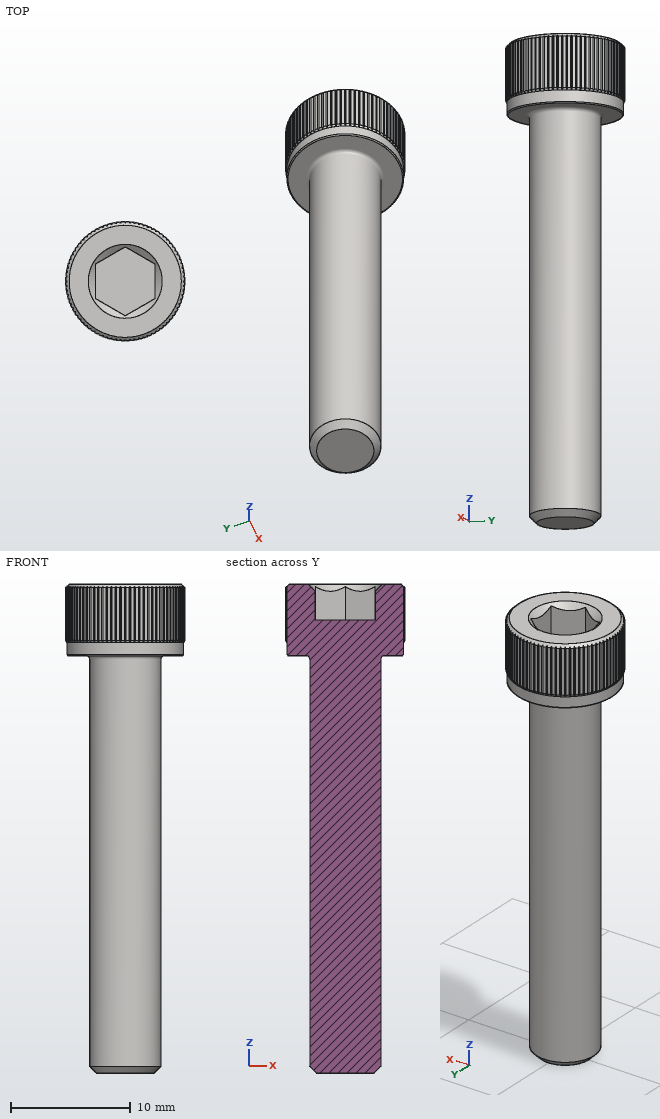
import cadquery as cq
import math

thread_diameter = 6.0
shank_length = 35.0
head_diameter = 10.0
head_height = 6.0

tip_diameter = 4.8
tip_chamfer_length = (thread_diameter - tip_diameter) / 2
neck_fillet = 0.3

collar_diameter = 9.8
collar_height = 1.1
collar_chamfer = 0.1
rim_chamfer = 0.3
foot_chamfer_width = (head_diameter - collar_diameter) / 2
foot_chamfer_height = 0.2

notch_count = 80
notch_width_share = 0.36
notch_width = notch_width_share * math.pi * head_diameter / notch_count
notch_depth = 0.1

socket_width = 5.0
socket_depth = 3.0
lead_in_diameter = 6.2
lead_in_half_angle = math.radians(45)

shank_radius = thread_diameter / 2
head_radius = head_diameter / 2
collar_radius = collar_diameter / 2


def polar_point(radius, angle):
    """Point at the given radius and angle about the screw axis."""
    return (radius * math.cos(angle), radius * math.sin(angle))


def make_shank():
    """Shank from its chamfered tip up into the neck fillet under the head."""
    fillet_start = shank_length - neck_fillet
    fillet_drop = neck_fillet * math.sqrt(0.5)
    fillet_middle = (shank_radius + neck_fillet - fillet_drop, fillet_start + fillet_drop)
    return (
        cq.Workplane("XZ")
        .moveTo(0, 0)
        .lineTo(tip_diameter / 2, 0)
        .lineTo(shank_radius, tip_chamfer_length)
        .lineTo(shank_radius, fillet_start)
        .threePointArc(fillet_middle, (shank_radius + neck_fillet, shank_length))
        .lineTo(0, shank_length)
        .close()
        .revolve(360, (0, 0, 0), (0, 1, 0))
    )


def make_collar():
    """Plain round band at the bottom of the head, with its lower edge broken."""
    return (
        cq.Workplane("XY")
        .workplane(offset=shank_length)
        .circle(collar_radius)
        .extrude(collar_height)
        .faces("<Z").chamfer(collar_chamfer)
    )


def make_knurled_band():
    """Notched upper head, trimmed by chamfers at its rim and foot."""
    height = head_height - collar_height
    root_radius = head_radius - notch_depth
    pitch_angle = 2 * math.pi / notch_count
    half_notch_angle = notch_width / head_diameter
    base = cq.Workplane("XY").workplane(offset=shank_length + collar_height)
    outline = base.moveTo(*polar_point(head_radius, -half_notch_angle))
    for notch in range(notch_count):
        notch_angle = notch * pitch_angle
        land_start = notch_angle + half_notch_angle
        land_middle = notch_angle + pitch_angle / 2
        land_end = notch_angle + pitch_angle - half_notch_angle
        outline = (
            outline.lineTo(*polar_point(root_radius, notch_angle))
            .lineTo(*polar_point(head_radius, land_start))
            .threePointArc(polar_point(head_radius, land_middle), polar_point(head_radius, land_end))
        )
    notched = outline.close().extrude(height)
    envelope = (
        base.circle(head_radius)
        .extrude(height)
        .faces(">Z").chamfer(rim_chamfer)
        .faces("<Z").chamfer(foot_chamfer_height, foot_chamfer_width)
    )
    return notched.intersect(envelope)


def make_socket():
    """Hexagonal recess with corners along Y, opened by a lead-in cone."""
    top = shank_length + head_height
    across_corners = socket_width / math.cos(math.pi / 6)
    hexagon = (
        cq.Workplane("XY")
        .workplane(offset=top - socket_depth)
        .transformed(rotate=(0, 0, 90))
        .polygon(6, across_corners)
        .extrude(socket_depth)
    )
    lead_in_radius = lead_in_diameter / 2
    flat_radius = socket_width / 2
    cone_depth = (lead_in_radius - flat_radius) / math.tan(lead_in_half_angle)
    cone = (
        cq.Workplane("XZ")
        .polyline([(0, top), (lead_in_radius, top), (flat_radius, top - cone_depth), (0, top - cone_depth)])
        .close()
        .revolve(360, (0, 0, 0), (0, 1, 0))
    )
    return hexagon.union(cone)


result = make_shank().union(make_collar()).union(make_knurled_band()).cut(make_socket())